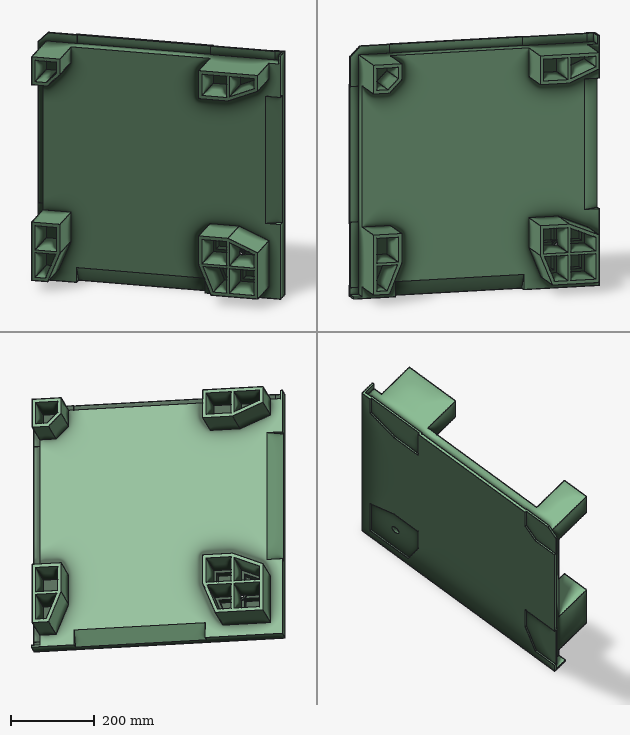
import cadquery as cq

side = 608.5
panel_depth = 39.0
total_depth = 140.0
ledge_width = 20.5
flange_depth = 7.0
pad_depth = 9.0
end_wall = 5.0
corner_chamfer = 25.0

near_edge = 90.5
bevel_start = 60.0
far_start = 434.0
far_end = 580.0
rib_center = 506.0
bevel_end = far_start + near_edge - bevel_start
foot_wall = 8.5
rib_width = 6.5

socket_depth = 4.0
socket_gap = 2.5
pad_margin = 6.5
edge_overrun = 6.0

recess_step = 6.5
recess_floor = 14.5
boss_radius = 16.0
boss_rise = 5.0
hole_radius = 11.0

grip_start = 104.0
grip_end = 421.5
grip_width = 37.0
grip_depth = 18.0


def place(u, v):
    return (u, side - v)


def mirrored(points):
    """Swap u and v, reflecting a plan outline about the diagonal."""
    return [(v, u) for u, v in points]


def plan(back):
    """Sketching plane parallel to the panel, at a distance in front of the back face."""
    return cq.Workplane("XZ", origin=(0, -back, 0))


def prism(points, back, front, growth=0.0):
    """Extrude a plan outline, optionally grown or shrunk with sharp corners."""
    sketch = plan(back).polyline([place(u, v) for u, v in points]).close()
    if growth:
        sketch = sketch.offset2D(growth, "intersection")
    return sketch.extrude(front - back)


def block(u0, u1, v0, v1, back, front):
    return prism([(u0, v0), (u1, v0), (u1, v1), (u0, v1)], back, front)


def disc(radius, back, front):
    """Cylinder on the crossing of the ribs."""
    center = place(rib_center, rib_center)
    return plan(back).center(*center).circle(radius).extrude(front - back)


def rib_cross(width, back, front):
    """Upright and level ribs spanning the whole panel."""
    low = rib_center - width / 2
    high = rib_center + width / 2
    upright = block(low, high, 0, side, back, front)
    level = block(0, side, low, high, back, front)
    return upright.union(level)


def near_foot(edge):
    """Single-cell foot by the cut corner; edge is where its two outer sides lie."""
    return [
        (edge, edge),
        (near_edge, edge),
        (near_edge, bevel_start),
        (bevel_start, near_edge),
        (edge, near_edge),
    ]


def side_foot(edge):
    """Two-cell foot at the top right; edge is where its top side lies."""
    return [
        (far_start, edge),
        (far_end, edge),
        (far_end, bevel_start),
        (rib_center, near_edge),
        (far_start, near_edge),
    ]


corner_foot = [
    (far_start, far_start),
    (rib_center, far_start),
    (far_end, bevel_end),
    (far_end, far_end),
    (bevel_end, far_end),
    (far_start, rib_center),
]


def foot_outlines(edge):
    """All four feet, with the sides facing the ledges lying at the given edge."""
    return [near_foot(edge), side_foot(edge), mirrored(side_foot(edge)), corner_foot]


def make_panel():
    """Square panel with a cut corner and stepped top and left edges."""
    panel = block(0, side, 0, side, 0, panel_depth)
    step_end = side - end_wall
    steps = block(0, step_end, 0, ledge_width, flange_depth, panel_depth)
    steps = steps.union(block(0, ledge_width, 0, step_end, flange_depth, panel_depth))
    panel = panel.cut(steps)
    pads = [(0, near_edge + pad_margin), (far_start - pad_margin, far_end + pad_margin)]
    for start, end in pads:
        panel = panel.union(block(start, end, 0, ledge_width, 0, pad_depth))
        panel = panel.union(block(0, ledge_width, start, end, 0, pad_depth))
    corner = [(0, 0), (corner_chamfer, 0), (0, corner_chamfer)]
    return panel.cut(prism(corner, 0, panel_depth))


def make_grip():
    """Sloped wedge removed from the front of the right edge."""
    profile = [
        (side - grip_width, -panel_depth),
        (side, -panel_depth),
        (side, grip_depth - panel_depth),
    ]
    top = side - grip_start
    return cq.Workplane("XY", origin=(0, 0, top)).polyline(profile).close().extrude(grip_start - grip_end)


def mirror_about_diagonal(body):
    """Turn a body on the right edge into its twin on the bottom edge."""
    middle = (side / 2, 0, side / 2)
    return body.mirror(cq.Vector(1, 0, 1), middle)


def add_feet(body):
    """Hollow feet, split into cells by the ribs."""
    for outline in foot_outlines(ledge_width):
        body = body.union(prism(outline, panel_depth, total_depth))
        cells = prism(outline, panel_depth, total_depth, -foot_wall)
        body = body.cut(cells.cut(rib_cross(rib_width, panel_depth, total_depth)))
    return body


def cut_sockets(body):
    """Shallow sockets for stacking; those by the ledges run out through the edges."""
    for outline in foot_outlines(-edge_overrun):
        body = body.cut(prism(outline, 0, socket_depth, socket_gap))
    return body


def finish_corner_foot(body):
    """Recessed cell floors with a drilled boss where the ribs cross."""
    recess = prism(corner_foot, recess_floor, panel_depth, -(foot_wall + recess_step))
    recess = recess.cut(rib_cross(rib_width + 2 * recess_step, recess_floor, panel_depth))
    boss_top = panel_depth + boss_rise
    body = body.cut(recess)
    body = body.union(disc(boss_radius, recess_floor, boss_top))
    return body.cut(disc(hole_radius, 0, boss_top))


grip = make_grip()
result = make_panel().cut(grip).cut(mirror_about_diagonal(grip))
result = add_feet(result)
result = cut_sockets(result)
result = finish_corner_foot(result)